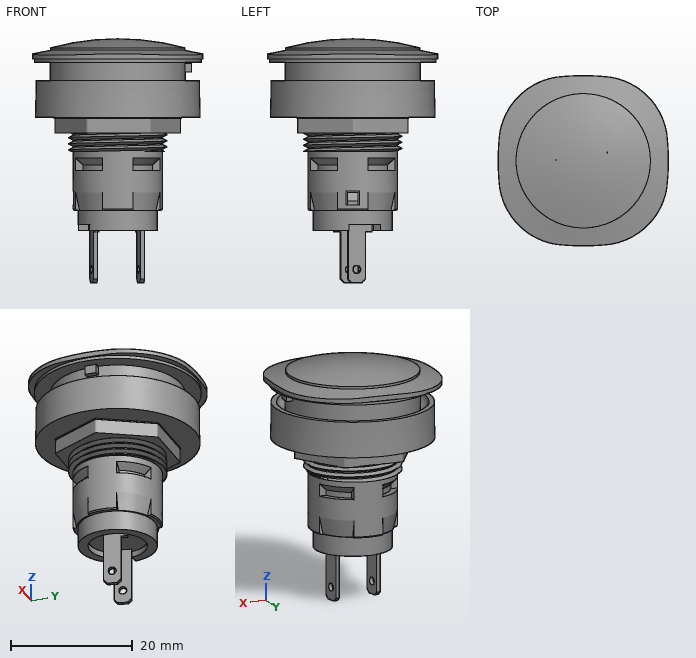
import cadquery as cq
import math


button_diameter = 22.05
button_bottom_z = 2.0
dome_edge_z = 2.4
dome_top_z = 3.89

bezel_width = 27.96
bezel_corner_reach = 14.97
bezel_side_half = 4.42
bezel_side_sagitta = 0.25
bezel_slope = 0.2
bezel_bottom_z = 0.53
flange_diameter = 27.4

neck_diameter = 22.2
key_reach = 12.1
key_width = 2.0
key_top_z = -0.1
key_height = 1.5

ring_top_z = -3.0
gasket_bottom_z = -5.0
ring_bottom_z = -9.0
gasket_diameter = 26.86
ring_bottom_diameter = 27.05
ring_bore_diameter = 25.0

nut_across_flats = 18.0
nut_turn = 1.1
nut_corner_radius = 0.4
nut_bottom_z = -11.6
nut_face_across_flats = 18.1
nut_face_height = 0.2

thread_crest_diameter = 16.2
thread_pitch = 1.0
thread_crest_z = -12.85
thread_bottom_z = -14.6
thread_base_half = 0.45
thread_root_overlap = 0.1
thread_lead_turns = 3
thread_swept_turns = 5

barrel_diameter = 14.7
barrel_bottom_z = -24.3
barrel_chamfer = 0.22
recess_wall_offset = 2.53
recess_turns = [0, 90, 180, 270]
window_top_z = -15.7
window_floor_top_z = -16.8
window_bottom_z = -17.75
window_floor_diameter = 12.5
notch_top_z = -21.35
notch_bottom_diameter = 13.5

latch_opening_width = 2.2
latch_opening_top_z = -21.1
latch_opening_bottom_z = -23.4
latch_opening_back_x = -5.6
latch_width = 1.8
latch_top_z = -21.35
latch_top_x = -5.9
latch_face_top_z = -22.75
latch_face_x = -6.4

skirt_diameter = 13.0
skirt_bore_diameter = 9.7
skirt_floor_z = -26.6
skirt_bottom_z = -27.6
gap_end_y = 0.6
gap_end_angle = 224.5

terminal_bottom_z = -36.15
terminal_width = 2.88
terminal_thickness = 0.73
terminal_turn = 12.0
terminal_centers = [(-3.94, -0.61, 0), (3.77, 0.575, 180)]
terminal_tip_chamfer = 0.6
terminal_hole_diameter = 1.3
terminal_hole_z = -33.95
shoulder_width = 1.1
shoulder_bottom_z = -27.8
terminal_embedding = 0.5

barrel_radius = barrel_diameter / 2


def cylinder(diameter, bottom_z, top_z):
    return cq.Workplane("XY").workplane(offset=bottom_z).circle(diameter / 2).extrude(top_z - bottom_z)


def box_between(x_range, y_range, z_range):
    corner_low = [min(x_range), min(y_range), min(z_range)]
    corner_high = [max(x_range), max(y_range), max(z_range)]
    size = [high - low for low, high in zip(corner_low, corner_high)]
    return cq.Workplane("XY").box(*size, centered=False).translate(tuple(corner_low))


def revolved(radius_z_points):
    return cq.Workplane("XZ").polyline(radius_z_points).close().revolve(360, (0, 0), (0, 1))


def make_button():
    radius = button_diameter / 2
    rise = dome_top_z - dome_edge_z
    sphere_radius = (radius ** 2 + rise ** 2) / (2 * rise)
    mid_radius = radius / 2
    mid_z = dome_top_z - sphere_radius + math.sqrt(sphere_radius ** 2 - mid_radius ** 2)
    return (
        cq.Workplane("XZ")
        .moveTo(0, 0)
        .lineTo(radius, 0)
        .lineTo(radius, dome_edge_z)
        .threePointArc((mid_radius, mid_z), (0, dome_top_z))
        .close()
        .revolve(360, (0, 0), (0, 1))
    )


def make_bezel():
    half = bezel_width / 2
    side = half - bezel_side_sagitta
    diagonal = bezel_corner_reach / math.sqrt(2)
    outline = cq.Workplane("XY").workplane(offset=bezel_bottom_z).moveTo(side, -bezel_side_half)
    for x_dir, y_dir in [(1, 0), (0, 1), (-1, 0), (0, -1)]:
        along_x, along_y = -y_dir, x_dir
        side_end = (
            x_dir * side + along_x * bezel_side_half,
            y_dir * side + along_y * bezel_side_half,
        )
        next_start = (
            along_x * side + x_dir * bezel_side_half,
            along_y * side + y_dir * bezel_side_half,
        )
        corner = ((x_dir + along_x) * diagonal, (y_dir + along_y) * diagonal)
        outline = outline.threePointArc((x_dir * half, y_dir * half), side_end)
        outline = outline.threePointArc(corner, next_start)
    plate = outline.close().extrude(dome_edge_z)
    peak_z = button_bottom_z + bezel_slope * button_diameter / 2
    cone_radius = bezel_width
    cone_rim_z = peak_z - bezel_slope * cone_radius
    cone_bottom_z = cone_rim_z - bezel_width
    slope = revolved([
        (0, cone_bottom_z),
        (cone_radius, cone_bottom_z),
        (cone_radius, cone_rim_z),
        (0, peak_z),
    ])
    flange = cylinder(flange_diameter, 0, bezel_bottom_z)
    return plate.intersect(slope).union(flange)


def make_neck():
    neck = cylinder(neck_diameter, ring_bottom_z, 0)
    key = box_between(
        (0, key_reach),
        (-key_width / 2, key_width / 2),
        (key_top_z - key_height, key_top_z),
    )
    return neck.union(key)


def make_ring():
    gasket = cylinder(gasket_diameter, gasket_bottom_z, ring_top_z)
    bore_radius = ring_bore_diameter / 2
    neck_radius = neck_diameter / 2
    gap = bore_radius - neck_radius
    bowl = (
        cq.Workplane("XZ")
        .moveTo(neck_radius, ring_top_z)
        .lineTo(bore_radius, ring_top_z)
        .threePointArc(
            (neck_radius + gap * math.sqrt(0.5), ring_top_z - gap * math.sqrt(0.5)),
            (neck_radius, ring_top_z - gap),
        )
        .close()
        .revolve(360, (0, 0), (0, 1))
    )
    gasket = gasket.cut(bowl)
    ring = revolved([
        (0, ring_bottom_z),
        (ring_bottom_diameter / 2, ring_bottom_z),
        (gasket_diameter / 2, gasket_bottom_z),
        (0, gasket_bottom_z),
    ])
    return ring.union(gasket)


def hexagon(across_flats, bottom_z, top_z):
    across_corners = across_flats / math.cos(math.radians(30))
    return cq.Workplane("XY").workplane(offset=bottom_z).polygon(6, across_corners).extrude(top_z - bottom_z)


def make_nut():
    face_z = ring_bottom_z - nut_face_height
    body = hexagon(nut_across_flats, nut_bottom_z, face_z).edges("|Z").fillet(nut_corner_radius)
    face = hexagon(nut_face_across_flats, face_z, ring_bottom_z)
    return body.union(face).rotate((0, 0, 0), (0, 0, 1), nut_turn)


def make_thread():
    core_radius = barrel_radius - thread_root_overlap
    start_z = thread_crest_z - thread_lead_turns * thread_pitch
    length = thread_swept_turns * thread_pitch
    helix = cq.Wire.makeHelix(thread_pitch, length, core_radius, center=cq.Vector(0, 0, start_z))
    ridge = (
        cq.Workplane("XZ")
        .polyline([
            (core_radius, start_z - thread_base_half),
            (thread_crest_diameter / 2, start_z),
            (core_radius, start_z + thread_base_half),
        ])
        .close()
        .sweep(cq.Workplane(obj=helix), isFrenet=True)
    )
    return ridge.intersect(cylinder(2 * thread_crest_diameter, thread_bottom_z, nut_bottom_z))


def cut_quadrant_recesses(body, section):
    """Cut a revolved (radius, z) section inside a square-cornered block in each quadrant."""
    sweep_around = revolved(section)
    for turn in recess_turns:
        quadrant = box_between(
            (recess_wall_offset, barrel_diameter),
            (recess_wall_offset, barrel_diameter),
            (barrel_bottom_z, thread_bottom_z),
        ).rotate((0, 0, 0), (0, 0, 1), turn)
        body = body.cut(sweep_around.intersect(quadrant))
    return body


def make_barrel():
    barrel = cylinder(barrel_diameter, barrel_bottom_z, ring_bottom_z).faces("<Z").chamfer(barrel_chamfer)
    outside = barrel_diameter
    floor_radius = window_floor_diameter / 2
    barrel = cut_quadrant_recesses(barrel, [
        (floor_radius, window_bottom_z),
        (outside, window_bottom_z),
        (outside, window_top_z),
        (barrel_radius, window_top_z),
        (floor_radius, window_floor_top_z),
    ])
    barrel = cut_quadrant_recesses(barrel, [
        (notch_bottom_diameter / 2, barrel_bottom_z),
        (outside, barrel_bottom_z),
        (outside, notch_top_z),
        (barrel_radius, notch_top_z),
    ])
    return barrel.cut(make_latch_opening())


def make_latch_opening():
    """Opening to cut from the barrel, less the ramped latch left standing in it."""
    opening = box_between(
        (-barrel_diameter, latch_opening_back_x),
        (-latch_opening_width / 2, latch_opening_width / 2),
        (latch_opening_bottom_z, latch_opening_top_z),
    )
    latch = (
        cq.Workplane("XZ")
        .polyline([
            (latch_opening_back_x, latch_opening_bottom_z),
            (latch_face_x, latch_opening_bottom_z),
            (latch_face_x, latch_face_top_z),
            (latch_top_x, latch_top_z),
            (latch_opening_back_x, latch_top_z),
        ])
        .close()
        .extrude(latch_width / 2, both=True)
    )
    return opening.cut(latch)


def make_skirt():
    skirt = cylinder(skirt_diameter, skirt_bottom_z, barrel_bottom_z)
    skirt = skirt.cut(cylinder(skirt_bore_diameter, skirt_bottom_z, skirt_floor_z))
    reach = skirt_diameter
    end_angle = math.radians(gap_end_angle)
    gap = (
        cq.Workplane("XY")
        .workplane(offset=skirt_bottom_z)
        .polyline([
            (0, 0),
            (0, gap_end_y),
            (-reach, gap_end_y),
            (-reach, reach * math.sin(end_angle)),
            (reach * math.cos(end_angle), reach * math.sin(end_angle)),
        ])
        .close()
        .extrude(skirt_floor_z - skirt_bottom_z)
    )
    return skirt.cut(gap)


def make_terminal():
    """Terminal centred on the Z axis, its flat faces toward +X and -X and its shoulder on the -Y side."""
    half_width = terminal_width / 2
    half_thickness = terminal_thickness / 2
    top_z = skirt_floor_z + terminal_embedding
    blade = box_between(
        (-half_thickness, half_thickness),
        (-half_width, half_width),
        (terminal_bottom_z, top_z),
    )
    blade = blade.faces("<Z").edges("|X").chamfer(terminal_tip_chamfer)
    shoulder = box_between(
        (-half_thickness, half_thickness),
        (-half_width - shoulder_width, 0),
        (shoulder_bottom_z, top_z),
    )
    hole = (
        cq.Workplane("YZ")
        .center(0, terminal_hole_z)
        .circle(terminal_hole_diameter / 2)
        .extrude(terminal_thickness, both=True)
    )
    return blade.union(shoulder).cut(hole)


result = make_button().union(make_bezel()).union(make_neck()).union(make_ring())
result = result.union(make_nut()).union(make_barrel()).union(make_thread()).union(make_skirt())
for center_x, center_y, half_turn in terminal_centers:
    placed_terminal = make_terminal().rotate((0, 0, 0), (0, 0, 1), terminal_turn + half_turn)
    result = result.union(placed_terminal.translate((center_x, center_y, 0)))